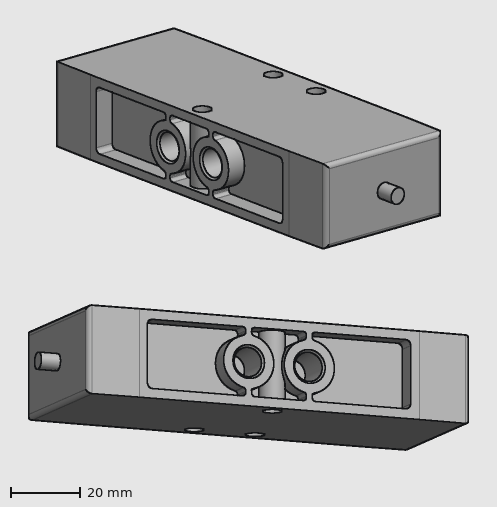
import cadquery as cq
overall_length = 132.0
body_length = 120.0
body_depth = 45.0
body_height = 26.0
end_fillet = 1.5

cap_length = 16.1
cap_draft = 0.29

pin_diameter = 5.0

mount_diameter = 5.5
mount_y = 17.5
port_spacing = 19.0

pocket_length = 82.5
pocket_height = 20.3
pocket_depth = 6.1
pocket_fillet = 1.6
web_fillet = 1.0
ring_diameter = 15.7
web_width = 1.8
post_diameter = 7.7
post_y = -17.2

port_diameter = 8.6
port_mouth_diameter = 9.9
port_depth = 13.2

front_y = -body_depth / 2
port_xs = (-port_spacing / 2, port_spacing / 2)
port_centres = [(x, 0) for x in port_xs]
mount_centres = [(x, mount_y) for x in port_xs] + [(0, -mount_y)]


def front_plane():
    """Plane on the front face: local x is X, local y is Z, extrusion runs inwards when negative."""
    return cq.Workplane("XZ", origin=(0, front_y, 0))


def make_block():
    """Block with drafted end caps and the four edges of each end face rounded."""
    half_length = body_length / 2
    seam_x = half_length - cap_length
    back_y = -front_y
    block = (
        cq.Workplane("XY", origin=(0, 0, -body_height / 2))
        .moveTo(-half_length, back_y - cap_draft)
        .lineTo(-seam_x, back_y)
        .lineTo(seam_x, back_y)
        .lineTo(half_length, back_y - cap_draft)
        .lineTo(half_length, front_y + cap_draft)
        .lineTo(seam_x, front_y)
        .lineTo(-seam_x, front_y)
        .lineTo(-half_length, front_y + cap_draft)
        .close()
        .extrude(body_height)
    )
    return block.faces("<X or >X").edges().fillet(end_fillet)


def make_pins():
    """One rod whose two ends stand out of the block as pins."""
    return cq.Workplane("YZ").circle(pin_diameter / 2).extrude(overall_length / 2, both=True)


def make_pocket():
    """Volume removed from the front, without the rings, the webs and the post."""
    pocket = front_plane().rect(pocket_length, pocket_height).extrude(-pocket_depth)
    rings = front_plane().pushPoints(port_centres).circle(ring_diameter / 2).extrude(-pocket_depth)
    webs = front_plane().pushPoints(port_centres).rect(web_width, pocket_height).extrude(-pocket_depth)
    pocket = pocket.edges("|Y").fillet(pocket_fillet)
    pocket = pocket.cut(rings.union(webs))
    web_corners = cq.selectors.BoxSelector(
        (-port_spacing, -body_depth, -pocket_height), (port_spacing, body_depth, pocket_height)
    )
    pocket = pocket.edges("|Y").edges(web_corners).fillet(web_fillet)
    post = (
        cq.Workplane("XY")
        .center(0, post_y)
        .circle(post_diameter / 2)
        .extrude(body_height / 2, both=True)
    )
    return pocket.cut(post)


def make_ports():
    """Port holes with a 45 degree chamfered mouth."""
    mouth_depth = (port_mouth_diameter - port_diameter) / 2
    holes = front_plane().pushPoints(port_centres).circle(port_diameter / 2).extrude(-port_depth)
    mouths = (
        front_plane()
        .pushPoints(port_centres)
        .circle(port_mouth_diameter / 2)
        .extrude(-mouth_depth, taper=45)
    )
    return holes.union(mouths)


def make_mount_holes():
    """Mounting holes running through the full height."""
    return (
        cq.Workplane("XY")
        .pushPoints(mount_centres)
        .circle(mount_diameter / 2)
        .extrude(body_height / 2, both=True)
    )


result = (
    make_block()
    .union(make_pins())
    .cut(make_pocket())
    .cut(make_ports())
    .cut(make_mount_holes())
)